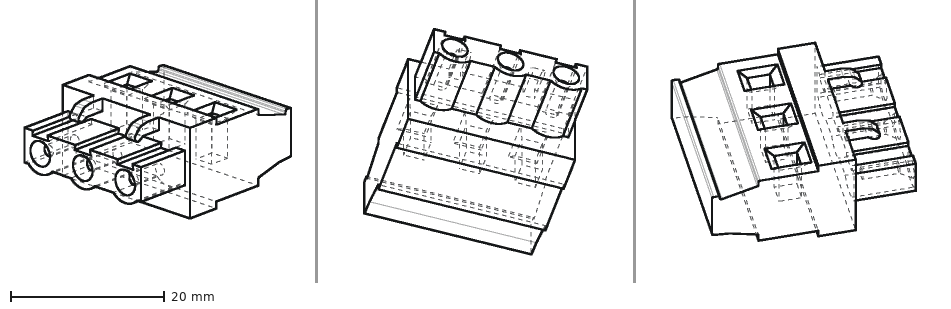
import cadquery as cq
import math


pole_count = 3
pole_pitch = 7.62
pole_positions = [(i - (pole_count - 1) / 2) * pole_pitch for i in range(pole_count)]

width = pole_count * pole_pitch
length = 27.6
height = 12.7
flange_front = 8.3
flange_back = 13.33
flange_step = 0.97
body_back = 21.35
body_bottom = flange_step
body_top = height - flange_step
edge_radius = 0.22

taper_slope = math.tan(math.radians(15))
taper_top_start = 10.85
taper_bottom_start = 2.07
taper_bottom_bend = 25.28
rear_bottom = 3.35
lip_front = 26.55
lip_top = 10.15

plug_width = 20.98
plug_bottom = 4.42
plug_top = 9.27
socket_height = 6.38
lobe_radius = 2.9
key_depth = 0.75
key_top_width = 2.6
key_bottom_width = 2.87

socket_mouth_diameter = 3.5
socket_bore_diameter = 1.6
socket_cone_depth = 1.65
socket_depth = 6.62

entry_centre = 16.5
entry_mouth_width = 3.9
entry_mouth_length = 5.35
entry_well_width = 2.8
entry_well_length = 3.04
entry_funnel_depth = 1.05
entry_depth = 6.62

hook_spacing = 10.1
hook_width = 1.6
hook_flat_end = 6.2
hook_underside = 10.93
hook_underside_end = 5.33
hook_crest_start = (5.1, 12.48)
hook_crest_end = (4.66, 12.28)
hook_tip_centre = (4.33, 11.0)
hook_tip_radius = 0.6
hook_tip_start_angle = 42
hook_tip_end_angle = -121


def side_profile(x_start):
    """Sketch plane for side outlines: local axes are Y and Z, extruding toward +X."""
    return cq.Workplane("YZ", origin=(x_start, 0, 0))


def make_housing():
    taper_top_end = taper_top_start - (lip_front - body_back) * taper_slope
    bend_height = taper_bottom_start + (taper_bottom_bend - body_back) * taper_slope
    housing = (
        side_profile(-width / 2)
        .moveTo(flange_front, 0)
        .lineTo(flange_front, height)
        .lineTo(flange_back, height)
        .lineTo(flange_back, body_top)
        .lineTo(body_back, body_top)
        .lineTo(body_back, taper_top_start)
        .lineTo(lip_front, taper_top_end)
        .lineTo(lip_front, lip_top)
        .lineTo(length, lip_top)
        .lineTo(length, rear_bottom)
        .lineTo(taper_bottom_bend, bend_height)
        .lineTo(body_back, taper_bottom_start)
        .lineTo(body_back, body_bottom)
        .lineTo(flange_back, body_bottom)
        .lineTo(flange_back, 0)
        .close()
        .extrude(width)
    )
    rounded_corners = [
        (body_back, body_top),
        (body_back, taper_top_start),
        (lip_front, taper_top_end),
        (lip_front, lip_top),
        (length, lip_top),
        (length, rear_bottom),
        (body_back, taper_bottom_start),
    ]
    for y, z in rounded_corners:
        corner = cq.selectors.NearestToPointSelector((0, y, z))
        housing = housing.edges("|X").edges(corner).fillet(edge_radius)
    return housing


def make_plug():
    """Bar with a round lobe under each pole and a dovetail key slot above it."""
    front = cq.Workplane("XZ", origin=(0, flange_front, 0))
    plug = (
        front.center(0, (plug_bottom + plug_top) / 2)
        .rect(plug_width, plug_top - plug_bottom)
        .extrude(flange_front)
    )
    lobe_half_width = math.sqrt(lobe_radius**2 - (socket_height - plug_bottom) ** 2)
    key_floor = plug_top - key_depth
    for x in pole_positions:
        lobe = (
            front.moveTo(x - lobe_half_width, plug_bottom)
            .threePointArc((x, socket_height - lobe_radius), (x + lobe_half_width, plug_bottom))
            .close()
            .extrude(flange_front)
        )
        key_slot = (
            front.moveTo(x - key_top_width / 2, plug_top)
            .lineTo(x + key_top_width / 2, plug_top)
            .lineTo(x + key_bottom_width / 2, key_floor)
            .lineTo(x - key_bottom_width / 2, key_floor)
            .close()
            .extrude(flange_front)
        )
        plug = plug.union(lobe).cut(key_slot)
    return plug


def make_socket(x):
    """Tapered lead-in followed by a straight blind bore."""
    mouth_radius = socket_mouth_diameter / 2
    bore_radius = socket_bore_diameter / 2
    return (
        cq.Workplane("XY", origin=(x, 0, socket_height))
        .lineTo(mouth_radius, 0)
        .lineTo(bore_radius, socket_cone_depth)
        .lineTo(bore_radius, socket_depth)
        .lineTo(0, socket_depth)
        .close()
        .revolve(360, (0, 0), (0, 1))
    )


def make_wire_entry(x):
    """Rectangular funnel opening into a straight blind well."""
    mouth = cq.Workplane("XY", origin=(x, entry_centre, body_top))
    funnel = (
        mouth.rect(entry_mouth_width, entry_mouth_length)
        .workplane(offset=-entry_funnel_depth)
        .rect(entry_well_width, entry_well_length)
        .loft(ruled=True)
    )
    well = mouth.rect(entry_well_width, entry_well_length).extrude(-entry_depth)
    return funnel.union(well)


def hook_tip_point(angle):
    """Point on the round hook tip; angle is in degrees, up from straight forward."""
    y, z = hook_tip_centre
    turn = math.radians(angle)
    return (y - hook_tip_radius * math.cos(turn), z + hook_tip_radius * math.sin(turn))


def make_hook(x):
    tip_middle_angle = (hook_tip_start_angle + hook_tip_end_angle) / 2
    return (
        side_profile(x - hook_width / 2)
        .moveTo(flange_back, height)
        .lineTo(hook_flat_end, height)
        .lineTo(*hook_crest_start)
        .tangentArcPoint(hook_crest_end, relative=False)
        .lineTo(*hook_tip_point(hook_tip_start_angle))
        .threePointArc(hook_tip_point(tip_middle_angle), hook_tip_point(hook_tip_end_angle))
        .lineTo(hook_underside_end, hook_underside)
        .lineTo(flange_back, hook_underside)
        .close()
        .extrude(hook_width)
    )


result = make_housing().union(make_plug())
for hook_x in (-hook_spacing / 2, hook_spacing / 2):
    result = result.union(make_hook(hook_x))
for pole_x in pole_positions:
    result = result.cut(make_socket(pole_x)).cut(make_wire_entry(pole_x))